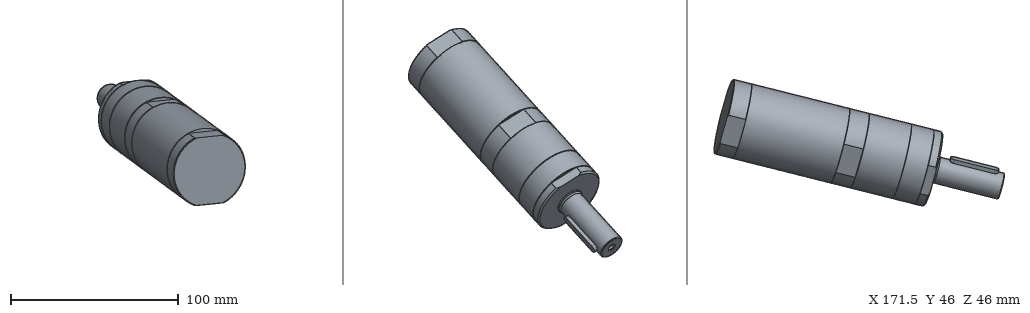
import cadquery as cq

NOSE_START = 42.0
GEAR_START = 47.6
GEAR_JOINT = 61.5
GEAR_END = 87.8
MOTOR_START = 99.7
MOTOR_END = 160.3
HOUSING_END = 171.5

HOUSING_DIAMETER = 46.0
FRONT_CHAMFER = 1.0
REAR_CHAMFER = 0.5
JOINT_CHAMFER = 0.25

FLAT_DISTANCE = 42.0

SHAFT_DIAMETER = 16.0
SHAFT_CHAMFER = 0.5
TAPER_DIAMETER = 16.95
TAPER_LENGTH = 1.2
COLLAR_DIAMETER = 17.5
COLLAR_LENGTH = 1.0

HOLE_DIAMETER = 4.13
HOLE_MOUTH_DIAMETER = 5.3
HOLE_DEPTH = 12.5

KEY_START = 4.0
KEY_LENGTH = 30.0
KEY_WIDTH = 5.0
KEY_HEIGHT = 5.0
KEY_TOP = 10.0


def cylinder(start, end, diameter):
    """Round bar along X between two stations."""
    return cq.Workplane("YZ", origin=(start, 0, 0)).circle(diameter / 2).extrude(end - start)


def housing_section(start, end, front_chamfer=0, rear_chamfer=0):
    """Round housing section with optional chamfers on its end rims."""
    section = cylinder(start, end, HOUSING_DIAMETER)
    if front_chamfer:
        section = section.faces("<X").chamfer(front_chamfer)
    if rear_chamfer:
        section = section.faces(">X").chamfer(rear_chamfer)
    return section


def flatted_section(start, end, front_chamfer=0, rear_chamfer=0):
    """Housing section trimmed to the two wrench flats."""
    center = ((start + end) / 2, 0, 0)
    slab = cq.Workplane("XY", origin=center).box(end - start, HOUSING_DIAMETER, FLAT_DISTANCE)
    return housing_section(start, end, front_chamfer, rear_chamfer).intersect(slab)


def make_housing():
    nose = flatted_section(NOSE_START, GEAR_START, front_chamfer=FRONT_CHAMFER)
    gear_front = housing_section(GEAR_START, GEAR_JOINT, front_chamfer=JOINT_CHAMFER)
    gear_rear = housing_section(GEAR_JOINT, GEAR_END, JOINT_CHAMFER, JOINT_CHAMFER)
    coupling = flatted_section(GEAR_END, MOTOR_START)
    motor = housing_section(MOTOR_START, MOTOR_END, front_chamfer=JOINT_CHAMFER)
    tail = flatted_section(MOTOR_END, HOUSING_END, JOINT_CHAMFER, REAR_CHAMFER)
    housing = nose
    for section in (gear_front, gear_rear, coupling, motor, tail):
        housing = housing.union(section)
    return housing


def make_shaft():
    """Shaft that widens through a short taper into a collar at the housing."""
    taper_end = NOSE_START - COLLAR_LENGTH
    taper_start = taper_end - TAPER_LENGTH
    profile = [
        (0, 0),
        (0, SHAFT_DIAMETER / 2 - SHAFT_CHAMFER),
        (SHAFT_CHAMFER, SHAFT_DIAMETER / 2),
        (taper_start, SHAFT_DIAMETER / 2),
        (taper_end, TAPER_DIAMETER / 2),
        (taper_end, COLLAR_DIAMETER / 2),
        (NOSE_START, COLLAR_DIAMETER / 2),
        (NOSE_START, 0),
    ]
    return cq.Workplane("XY").polyline(profile).close().revolve(360, (0, 0, 0), (1, 0, 0))


def make_key():
    """Parallel key with round ends, sunk into the shaft."""
    middle = KEY_START + KEY_LENGTH / 2
    plane = cq.Workplane("XZ", origin=(middle, KEY_TOP, 0))
    return plane.slot2D(KEY_LENGTH, KEY_WIDTH).extrude(KEY_HEIGHT)


def make_tip_hole():
    """Drilled hole with a chamfered mouth and a flat bottom."""
    hole_radius = HOLE_DIAMETER / 2
    mouth_radius = HOLE_MOUTH_DIAMETER / 2
    profile = [
        (0, 0),
        (0, mouth_radius),
        (mouth_radius - hole_radius, hole_radius),
        (HOLE_DEPTH, hole_radius),
        (HOLE_DEPTH, 0),
    ]
    return cq.Workplane("XY").polyline(profile).close().revolve(360, (0, 0, 0), (1, 0, 0))


result = make_housing().union(make_shaft()).union(make_key()).cut(make_tip_hole())